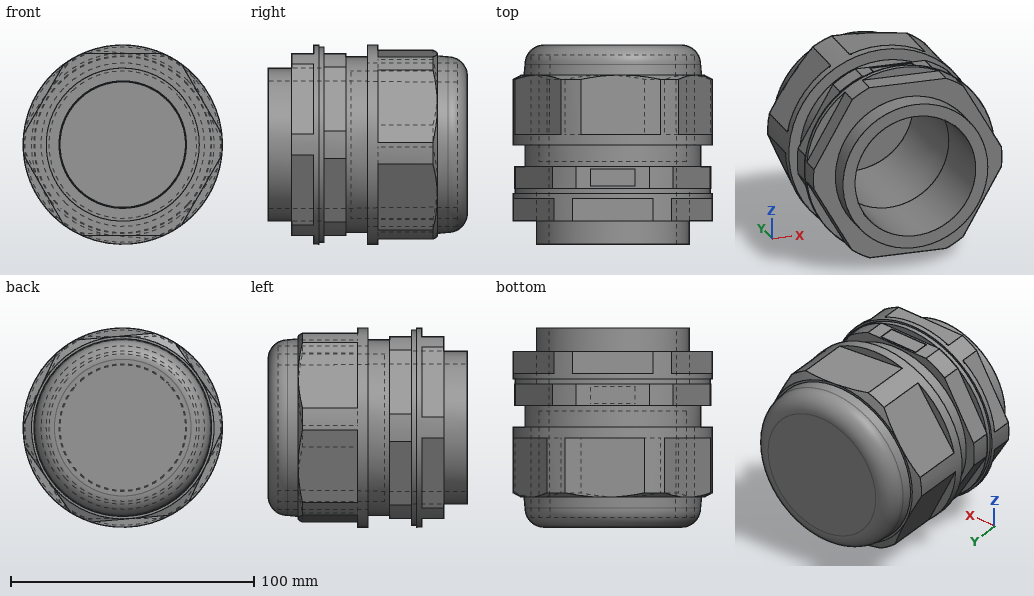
import cadquery as cq
import math


SPIGOT_END_Y = -41.0
LOCK_NUT_FRONT_Y = -31.3
LOCK_NUT_FLANGE_Y = -22.2
GASKET_FRONT_Y = -20.0
BODY_HEX_FRONT_Y = -17.95
BODY_HEX_BACK_Y = -9.0
INSERT_SEAT_Y = -6.9
NUT_FRONT_Y = -0.2
NUT_FLANGE_Y = 4.2
NUT_CHAMFER_Y = 26.8
NUT_SHOULDER_Y = 28.6
DOME_ROUND_Y = 33.0
NUT_CAVITY_END_Y = 36.9
NUT_END_Y = 41.0

NUT_RADIUS = 41.0
LOCK_NUT_RADIUS = 41.0
BODY_HEX_RADIUS = 40.4
GASKET_RADIUS = 40.2
NECK_RADIUS = 36.25
DOME_RADIUS = 36.2
DOME_FOOT_RADIUS = 36.6
THREAD_RADIUS = 33.6
SPIGOT_RADIUS = 31.5
INSERT_RADIUS = 30.3
BORE_RADIUS = 26.2
INSERT_END_RADIUS = 25.8

NUT_FLAT = 37.55
LOCK_NUT_FLAT = 37.5
BODY_FLAT = 37.5
NUT_TURN = 5.0

PLATE_LENGTH = 18.1
PLATE_WIDTH = 7.05
PLATE_DEPTH = 0.2

HEX_SIDES = 6


def cylinder(radius, start_y, end_y):
    """Solid cylinder on the Y axis between two stations."""
    return (
        cq.Workplane("XZ", origin=(0, start_y, 0))
        .circle(radius)
        .extrude(start_y - end_y)
    )


def hexagon(flat_distance, start_y, end_y, turn=0.0):
    """Hexagonal prism on the Y axis with a flat facing +Z, turned from +Z towards +X."""
    corner_distance = flat_distance / math.cos(math.pi / HEX_SIDES)
    return (
        cq.Workplane("XZ", origin=(0, start_y, 0))
        .polygon(HEX_SIDES, 2 * corner_distance)
        .extrude(start_y - end_y)
        .rotate((0, 0, 0), (0, 1, 0), turn)
    )


def make_dome_nut():
    """Closed clamping nut: round flange, hexagon with a turned chamfer, and a rounded end."""
    dome_round = NUT_END_Y - DOME_ROUND_Y
    end_face_radius = DOME_RADIUS - dome_round
    arc_middle = dome_round * math.sin(math.pi / 4)
    flange = cylinder(NUT_RADIUS, NUT_FRONT_Y, NUT_FLANGE_Y)
    blank = (
        cq.Workplane("XY")
        .moveTo(0, NUT_FLANGE_Y)
        .lineTo(NUT_RADIUS, NUT_FLANGE_Y)
        .lineTo(NUT_RADIUS, NUT_CHAMFER_Y)
        .lineTo(NUT_FLAT, NUT_SHOULDER_Y)
        .lineTo(0, NUT_SHOULDER_Y)
        .close()
        .revolve(360, (0, 0, 0), (0, 1, 0))
    )
    hex_section = blank.intersect(hexagon(NUT_FLAT, NUT_FLANGE_Y, NUT_SHOULDER_Y, NUT_TURN))
    dome = (
        cq.Workplane("XY")
        .moveTo(0, NUT_SHOULDER_Y)
        .lineTo(DOME_FOOT_RADIUS, NUT_SHOULDER_Y)
        .lineTo(DOME_RADIUS, DOME_ROUND_Y)
        .threePointArc(
            (end_face_radius + arc_middle, DOME_ROUND_Y + arc_middle),
            (end_face_radius, NUT_END_Y),
        )
        .lineTo(0, NUT_END_Y)
        .close()
        .revolve(360, (0, 0, 0), (0, 1, 0))
    )
    cavity = cylinder(THREAD_RADIUS, NUT_FRONT_Y, NUT_CAVITY_END_Y)
    return flange.union(hex_section).union(dome).cut(cavity)


def make_gland_body():
    """Tube with a spigot, a hexagon, a neck and a thread that fills the nut cavity."""
    spigot = cylinder(SPIGOT_RADIUS, SPIGOT_END_Y, BODY_HEX_FRONT_Y)
    hex_section = hexagon(BODY_FLAT, BODY_HEX_FRONT_Y, BODY_HEX_BACK_Y).intersect(
        cylinder(BODY_HEX_RADIUS, BODY_HEX_FRONT_Y, BODY_HEX_BACK_Y)
    )
    neck = cylinder(NECK_RADIUS, BODY_HEX_BACK_Y, NUT_FRONT_Y)
    thread = cylinder(THREAD_RADIUS, NUT_FRONT_Y, NUT_CAVITY_END_Y)
    bore = cylinder(BORE_RADIUS, SPIGOT_END_Y, INSERT_SEAT_Y)
    insert_seat = cylinder(INSERT_RADIUS, INSERT_SEAT_Y, NUT_CAVITY_END_Y)
    plate_middle_y = (BODY_HEX_FRONT_Y + BODY_HEX_BACK_Y) / 2
    plate_recess = (
        cq.Workplane("XY", origin=(0, plate_middle_y, BODY_FLAT))
        .rect(PLATE_LENGTH, PLATE_WIDTH)
        .extrude(-PLATE_DEPTH)
    )
    tube = spigot.union(hex_section).union(neck).union(thread)
    return tube.cut(bore).cut(insert_seat).cut(plate_recess)


def make_gasket():
    """Flat ring on the spigot between the body hexagon and the lock nut."""
    disc = cylinder(GASKET_RADIUS, GASKET_FRONT_Y, BODY_HEX_FRONT_Y)
    return disc.cut(cylinder(SPIGOT_RADIUS, GASKET_FRONT_Y, BODY_HEX_FRONT_Y))


def make_lock_nut():
    """Flanged hexagonal nut on the spigot, its corners rounded to the flange."""
    flange = cylinder(LOCK_NUT_RADIUS, LOCK_NUT_FLANGE_Y, GASKET_FRONT_Y)
    hex_section = hexagon(LOCK_NUT_FLAT, LOCK_NUT_FRONT_Y, LOCK_NUT_FLANGE_Y).intersect(
        cylinder(LOCK_NUT_RADIUS, LOCK_NUT_FRONT_Y, LOCK_NUT_FLANGE_Y)
    )
    hole = cylinder(SPIGOT_RADIUS, LOCK_NUT_FRONT_Y, GASKET_FRONT_Y)
    return flange.union(hex_section).cut(hole)


def make_seal_insert():
    """Sleeve in the body whose opening narrows slightly towards the closed end of the nut."""
    return (
        cq.Workplane("XY")
        .moveTo(BORE_RADIUS, INSERT_SEAT_Y)
        .lineTo(INSERT_RADIUS, INSERT_SEAT_Y)
        .lineTo(INSERT_RADIUS, NUT_CAVITY_END_Y)
        .lineTo(INSERT_END_RADIUS, NUT_CAVITY_END_Y)
        .close()
        .revolve(360, (0, 0, 0), (0, 1, 0))
    )


dome_nut = make_dome_nut()
gland_body = make_gland_body()
gasket = make_gasket()
lock_nut = make_lock_nut()
seal_insert = make_seal_insert()

result = cq.Compound.makeCompound(
    [dome_nut.val(), gland_body.val(), gasket.val(), lock_nut.val(), seal_insert.val()]
)